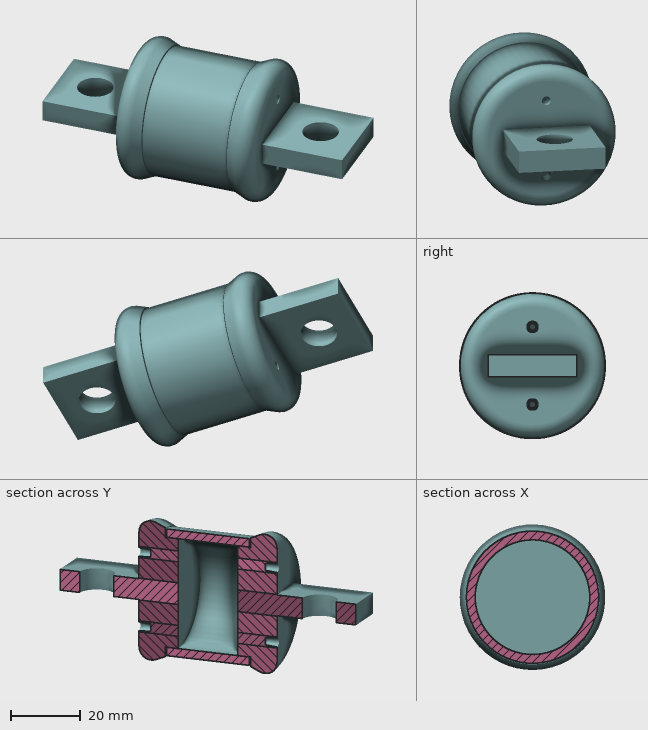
import cadquery as cq
import math

TOTAL_LENGTH = 92.1

TUBE_LENGTH = 25.8
TUBE_RADIUS = 19.1
TUBE_BORE_RADIUS = 16.4

TUBE_GAP = 0.3
CAP_RADIUS = 20.9
CAP_FACE_X = 21.55
RIM_ROUND = 3.9
RIM_TAPER_ANGLE = 23.0
PLUG_DEPTH = 3.7

BLADE_WIDTH = 25.3
BLADE_THICKNESS = 6.35
BLADE_HOLE_DIAMETER = 10.5
BLADE_HOLE_X = 34.6

PIN_OFFSET = 11.1
PIN_SIDES = (1, -1)
PIN_RADIUS = 1.6
PIN_MOUTH_RADIUS = 1.3
PIN_BOTTOM_RADIUS = 1.0
PIN_BORE_DEPTH = 3.7

FLANGE_INNER_X = TUBE_LENGTH / 2 + TUBE_GAP
PLUG_END_X = TUBE_LENGTH / 2 - PLUG_DEPTH
CAP_LENGTH = CAP_FACE_X - PLUG_END_X
RIM_CENTER_X = CAP_FACE_X - RIM_ROUND
RIM_CENTER_RADIUS = CAP_RADIUS - RIM_ROUND


def rim_point(angle):
    """Point (x, radius) on the rim round, with the angle in degrees from the +X axis."""
    turn = math.radians(angle)
    return (
        RIM_CENTER_X + RIM_ROUND * math.cos(turn),
        RIM_CENTER_RADIUS + RIM_ROUND * math.sin(turn),
    )


def x_cylinder(radius, start_x, length, z):
    """Solid cylinder along +X, starting at start_x, at height z."""
    return cq.Workplane("YZ", origin=(start_x, 0, z)).circle(radius).extrude(length)


def blade_blank():
    """Plain bar from the inner end of the plug to the end of the part."""
    length = TOTAL_LENGTH / 2 - PLUG_END_X
    return cq.Workplane("XY").box(
        length, BLADE_WIDTH, BLADE_THICKNESS, centered=(False, True, True)
    ).translate((PLUG_END_X, 0, 0))


def make_tube():
    """Plain round tube centred on the X axis."""
    return (
        cq.Workplane("YZ", origin=(-TUBE_LENGTH / 2, 0, 0))
        .circle(TUBE_RADIUS)
        .circle(TUBE_BORE_RADIUS)
        .extrude(TUBE_LENGTH)
    )


def make_cap():
    """Cap on the +X end, with a slot for the blade and holes for the pins."""
    taper_start = rim_point(90 + RIM_TAPER_ANGLE)
    taper_drop = (taper_start[0] - FLANGE_INNER_X) * math.tan(math.radians(RIM_TAPER_ANGLE))
    flange_inner_radius = taper_start[1] - taper_drop
    cap = (
        cq.Workplane("XY")
        .moveTo(PLUG_END_X, 0)
        .lineTo(CAP_FACE_X, 0)
        .lineTo(CAP_FACE_X, RIM_CENTER_RADIUS)
        .threePointArc(rim_point(45), taper_start)
        .lineTo(FLANGE_INNER_X, flange_inner_radius)
        .lineTo(FLANGE_INNER_X, TUBE_BORE_RADIUS)
        .lineTo(PLUG_END_X, TUBE_BORE_RADIUS)
        .close()
        .revolve(360, (0, 0, 0), (1, 0, 0))
    )
    cap = cap.cut(blade_blank())
    for side in PIN_SIDES:
        cap = cap.cut(x_cylinder(PIN_RADIUS, PLUG_END_X, CAP_LENGTH, side * PIN_OFFSET))
    return cap


def make_blade():
    """Blade on the +X end, with its bolt hole."""
    hole = (
        cq.Workplane("XY", origin=(BLADE_HOLE_X, 0, -BLADE_THICKNESS / 2))
        .circle(BLADE_HOLE_DIAMETER / 2)
        .extrude(BLADE_THICKNESS)
    )
    return blade_blank().cut(hole)


def make_pin(side):
    """Pin flush with the cap face, with a blind bore that narrows inward from its outer end."""
    height = side * PIN_OFFSET
    bore = (
        cq.Workplane("YZ", origin=(CAP_FACE_X, 0, height))
        .circle(PIN_MOUTH_RADIUS)
        .workplane(offset=-PIN_BORE_DEPTH)
        .circle(PIN_BOTTOM_RADIUS)
        .loft()
    )
    return x_cylinder(PIN_RADIUS, PLUG_END_X, CAP_LENGTH, height).cut(bore)


tube = make_tube()

end_parts = [make_cap(), make_blade(), *[make_pin(side) for side in PIN_SIDES]]
end_bodies = []
for end_angle in (0, 180):
    for part in end_parts:
        turned = part.rotate((0, 0, 0), (0, 0, 1), end_angle)
        end_bodies.append(turned.solids().val())

result = cq.Compound.makeCompound([tube.val(), *end_bodies])